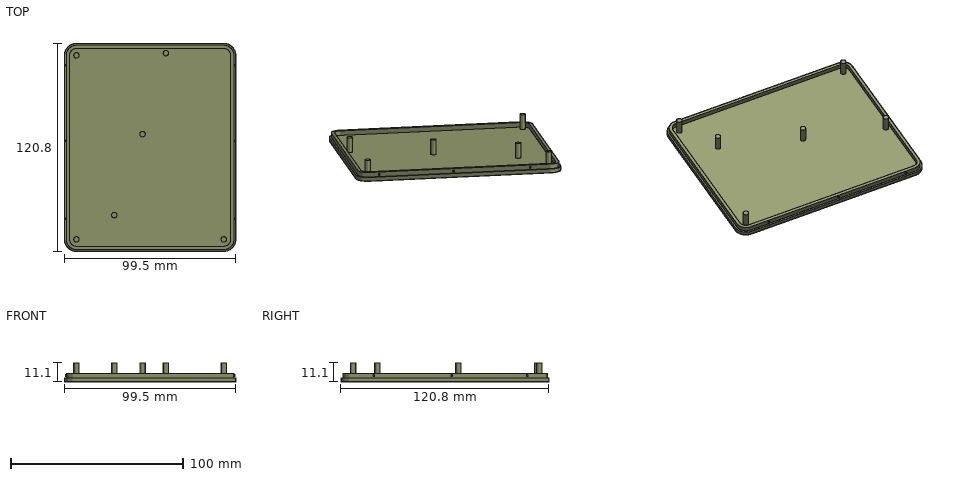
import cadquery as cq

LENGTH_X = 99.5
LENGTH_Y = 120.8
BASE_THICKNESS = 2.3
CORNER_RADIUS = 7.0

RIM_INSET = 1.1
RIM_THICKNESS = 1.9
RIM_TOP = 5.0

PIN_DIAMETER = 3.18
PIN_TOP = 11.1
CORNER_PIN_X = LENGTH_X / 2 - CORNER_RADIUS
CORNER_PIN_Y = LENGTH_Y / 2 - CORNER_RADIUS
PIN_CENTRES = [
    (-CORNER_PIN_X, -CORNER_PIN_Y),
    (CORNER_PIN_X, -CORNER_PIN_Y),
    (-CORNER_PIN_X, CORNER_PIN_Y),
    (9.2, 54.7),
    (-4.4, 7.7),
    (-20.8, -39.3),
]

NUB_DIAMETER = 1.0
NUB_PROJECTION = 0.5
NUB_Z = 3.7
NUB_Y_POSITIONS = [47.7, 3.8, -41.4]


def rounded_slab(inset, bottom, top):
    """Slab whose rounded outline lies `inset` inside the plate outline."""
    return (
        cq.Workplane("XY", origin=(0, 0, bottom))
        .rect(LENGTH_X - 2 * inset, LENGTH_Y - 2 * inset)
        .extrude(top - bottom)
        .edges("|Z")
        .fillet(CORNER_RADIUS - inset)
    )


def make_tray():
    """Flat plate with the raised rim around it."""
    plate = rounded_slab(0, 0, BASE_THICKNESS)
    rim_block = rounded_slab(RIM_INSET, 0, RIM_TOP)
    pocket = rounded_slab(RIM_INSET + RIM_THICKNESS, BASE_THICKNESS, RIM_TOP)
    return plate.union(rim_block).cut(pocket)


def make_pins():
    """Pins rising from the plate; they start at its underside so that they fuse fully."""
    return cq.Workplane("XY").pushPoints(PIN_CENTRES).circle(PIN_DIAMETER / 2).extrude(PIN_TOP)


def make_nubs():
    """Short round studs standing out from the two long rim faces, rooted in the rim wall."""
    root_depth = RIM_THICKNESS / 2
    root_x = LENGTH_X / 2 - RIM_INSET - root_depth
    one_side = (
        cq.Workplane("YZ", origin=(root_x, 0, 0))
        .pushPoints([(y, NUB_Z) for y in NUB_Y_POSITIONS])
        .circle(NUB_DIAMETER / 2)
        .extrude(root_depth + NUB_PROJECTION)
    )
    return one_side.union(one_side.mirror("YZ"))


result = make_tray().union(make_pins()).union(make_nubs())